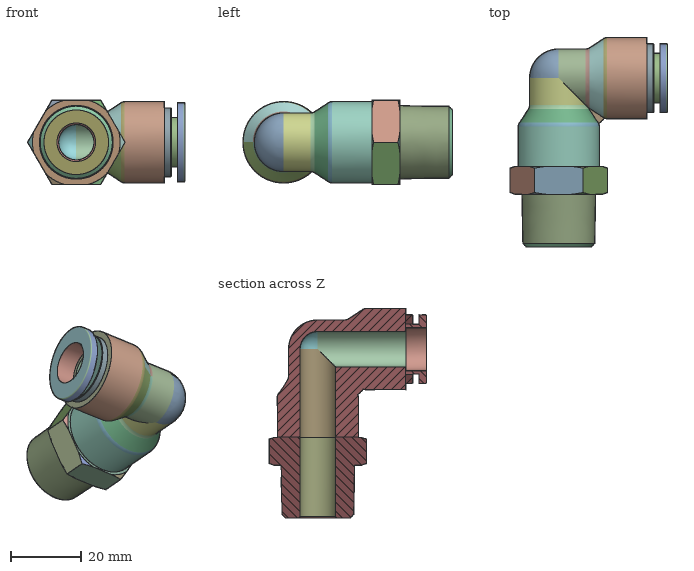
import cadquery as cq
import math


overall_width = 44.75
overall_depth = 59.6

passage_radius = 5.0
leg_length = 25.05
pipe_radius = 8.35
sleeve_radius = 23.2 / 2
cone_start = 8.3
cone_end = 13.25
cone_blend_radius = 2.0
web_thickness = 2.0
web_reach = 24.4

hex_across_flats = 24.0
hex_height = 8.0
hex_face_radius = 12.45
hex_corner_drop = 0.55
stud_root_radius = 10.5
stud_tip_radius = 10.25
stud_chamfer = 1.1
mouth_chamfer = 0.5

collar_radius = 19.6 / 2
collar_length = 1.95
collar_chamfer = 0.2
neck_radius = 7.1
flange_start = 28.7
flange_half_height = 11.25
flange_rounding = 0.3
tube_bore_radius = 6.1

hex_top = -leg_length
hex_bottom = hex_top - hex_height
stud_tip = sleeve_radius - overall_depth
hex_corner_radius = hex_across_flats / math.sqrt(3)
collar_end = leg_length + collar_length
flange_end = overall_width - hex_corner_radius


def cylinder_along(axis, radius, start, end):
    """Cylinder on the X or Y axis between two positions on that axis."""
    plane, direction = ("YZ", 1) if axis == "X" else ("XZ", -1)
    base = cq.Workplane(plane).workplane(offset=direction * start)
    return base.circle(radius).extrude(direction * (end - start))


def turned_along_x(points):
    """Solid of revolution about X from (x, radius) points."""
    return cq.Workplane("XY").polyline(points).close().revolve(360, (0, 0, 0), (1, 0, 0))


def turned_along_y(points):
    """Solid of revolution about Y from (radius, y) points."""
    return cq.Workplane("XY").polyline(points).close().revolve(360, (0, 0, 0), (0, 1, 0))


def outlet_leg():
    """Pipe that widens through a blended cone into the sleeve at its end."""
    zone_margin = 0.6
    profile = [
        (0, 0), (0, pipe_radius), (cone_start, pipe_radius),
        (cone_end, sleeve_radius), (leg_length, sleeve_radius), (leg_length, 0),
    ]
    leg = turned_along_x(profile)
    cone_zone = cq.selectors.BoxSelector(
        (cone_start - zone_margin, -sleeve_radius - zone_margin, -sleeve_radius - zone_margin),
        (cone_end + zone_margin, sleeve_radius + zone_margin, sleeve_radius + zone_margin),
        boundingbox=True,
    )
    return leg.edges("%CIRCLE").edges(cone_zone).fillet(cone_blend_radius)


def make_elbow():
    """Two equal legs joined by a spherical corner, with a bent passage through them."""
    outlet = outlet_leg()
    inlet = outlet.rotate((0, 0, 0), (0, 0, 1), -90)
    web = (
        cq.Workplane("XY").polyline([(0, 0), (web_reach, 0), (0, -web_reach)]).close()
        .extrude(web_thickness / 2, both=True)
    )
    body = outlet.union(inlet).union(cq.Workplane("XY").sphere(pipe_radius)).union(web)
    passage = (
        cq.Workplane("XY").sphere(passage_radius)
        .union(cylinder_along("X", passage_radius, 0, leg_length))
        .union(cylinder_along("Y", passage_radius, -leg_length, 0))
    )
    return body.cut(passage)


def make_stud():
    """Hexagon with chamfered corners above a tapered, bored shank."""
    hexagon = (
        cq.Workplane("XZ").workplane(offset=-hex_top)
        .polygon(6, 2 * hex_corner_radius).extrude(hex_height)
    )
    crown = turned_along_y([
        (0, hex_top), (hex_face_radius, hex_top), (hex_corner_radius, hex_top - hex_corner_drop),
        (hex_corner_radius, hex_bottom + hex_corner_drop), (hex_face_radius, hex_bottom), (0, hex_bottom),
    ])
    taper = turned_along_y([
        (0, hex_bottom), (stud_root_radius, hex_bottom), (stud_tip_radius, stud_tip + stud_chamfer),
        (stud_tip_radius - stud_chamfer, stud_tip), (0, stud_tip),
    ])
    mouth = turned_along_y([
        (0, stud_tip), (passage_radius + mouth_chamfer, stud_tip),
        (passage_radius, stud_tip + mouth_chamfer), (0, stud_tip + mouth_chamfer),
    ])
    bore = cylinder_along("Y", passage_radius, stud_tip, hex_top)
    return hexagon.intersect(crown).union(taper).cut(bore).cut(mouth)


def make_collar():
    """Guide ring on the outlet face, around the neck of the release ring."""
    collar = cylinder_along("X", collar_radius, leg_length, collar_end)
    collar = collar.faces(">X").edges().chamfer(collar_chamfer)
    return collar.cut(cylinder_along("X", neck_radius, leg_length, collar_end))


def make_release_ring():
    """Tube release ring: a round neck with an elliptical flange."""
    neck = cylinder_along("X", neck_radius, leg_length, flange_start)
    flange = (
        cq.Workplane("YZ").workplane(offset=flange_start)
        .ellipse(collar_radius, flange_half_height).extrude(flange_end - flange_start)
        .faces(">X").edges().fillet(flange_rounding)
    )
    return neck.union(flange).cut(cylinder_along("X", tube_bore_radius, leg_length, flange_end))


elbow = make_elbow()
stud = make_stud()
collar = make_collar()
release_ring = make_release_ring()

result = cq.Compound.makeCompound([elbow.val(), stud.val(), collar.val(), release_ring.val()])